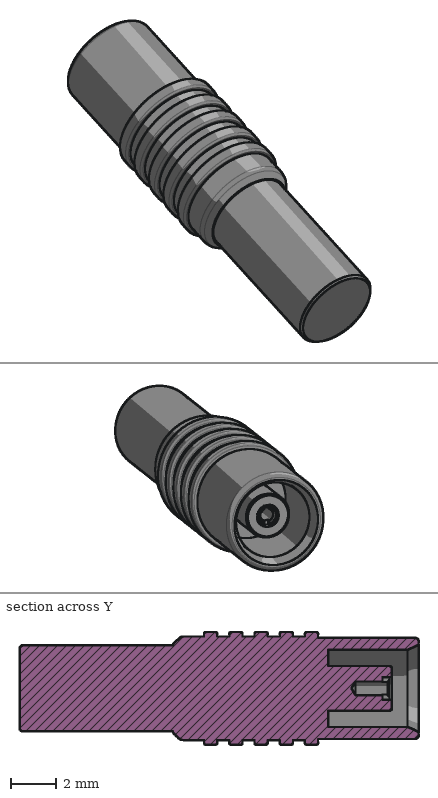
import cadquery as cq
import math

total_length = 17.66
mating_end = -total_length / 2
cable_end = total_length / 2

barrel_radius = 2.25
grip_radius = 2.3
ferrule_radius = 1.91
ferrule_chamfer = 0.1
barrel_length = 4.45
grip_length = 6.43
grip_start = mating_end + barrel_length
grip_end = grip_start + grip_length
shoulder_chamfer = 0.34
shoulder_round = 0.3
lip_round = 0.2

ring_count = 5
ring_radius = 2.5
ring_width = 0.6
ring_pitch = 1.115
ring_edge_round = 0.1

socket_mouth_radius = 1.94
socket_radius = 1.7
socket_taper_depth = 0.5
socket_depth = 4.0

insulator_radius = 1.0
insulator_chamfer = 0.07
insulator_recess = 1.2

contact_radius = 0.5
contact_setback = 0.1
contact_bore_radius = 0.3
contact_countersink = 0.1
contact_bore_depth = 1.5
contact_slot_width = 0.25
contact_slot_depth = 0.3
contact_tip_angle = 118
contact_tip_depth = contact_bore_radius / math.tan(math.radians(contact_tip_angle / 2))


def cylinder(start, end, radius):
    """Solid cylinder on the X axis between two X positions."""
    return cq.Workplane("YZ", origin=(start, 0, 0)).circle(radius).extrude(end - start)


def make_body():
    barrel = cylinder(mating_end, grip_start, barrel_radius).faces("<X").edges().fillet(lip_round)
    grip = cylinder(grip_start, grip_end, grip_radius).faces(">X").edges().chamfer(shoulder_chamfer)
    shoulder_edge = cq.selectors.RadiusNthSelector(-1)
    grip = grip.faces("%CONE").edges(shoulder_edge).fillet(shoulder_round)
    ferrule = cylinder(grip_end, cable_end, ferrule_radius).faces(">X").edges().chamfer(ferrule_chamfer)
    return barrel.union(grip).union(ferrule)


def make_ring(index):
    start = grip_start + index * ring_pitch
    return cylinder(start, start + ring_width, ring_radius).edges().fillet(ring_edge_round)


def revolve_profile(points):
    """Solid of revolution about X from a closed profile of (X, radius) points."""
    return cq.Workplane("XY").polyline(points).close().revolve(360, (0, 0, 0), (1, 0, 0))


def make_socket():
    """Cutter for the socket: a tapered mouth leading into a straight bore."""
    taper_end = mating_end + socket_taper_depth
    floor = mating_end + socket_depth
    return revolve_profile([
        (mating_end, 0),
        (mating_end, socket_mouth_radius),
        (taper_end, socket_radius),
        (floor, socket_radius),
        (floor, 0),
    ])


def make_contact_hole(front):
    """Cutter for the contact setback, countersink, bore and conical bottom."""
    contact_front = front + contact_setback
    bore_end = contact_front + contact_bore_depth
    return revolve_profile([
        (front, 0),
        (front, contact_radius),
        (contact_front, contact_radius),
        (contact_front, contact_bore_radius + contact_countersink),
        (contact_front + contact_countersink, contact_bore_radius),
        (bore_end, contact_bore_radius),
        (bore_end + contact_tip_depth, 0),
    ])


def make_contact_slot(front):
    """Cutter for the slot that splits the contact tip into two fingers."""
    slot_bottom = front + contact_setback + contact_slot_depth
    slot_sides = cq.Workplane("XY").box(total_length, contact_slot_width, 2 * contact_radius)
    return cylinder(front, slot_bottom, contact_radius).intersect(slot_sides)


def make_insulator():
    front = mating_end + insulator_recess
    floor = mating_end + socket_depth
    insulator = cylinder(front, floor, insulator_radius).faces("<X").edges().chamfer(insulator_chamfer)
    return insulator.cut(make_contact_hole(front)).cut(make_contact_slot(front))


result = make_body()
for index in range(ring_count):
    result = result.union(make_ring(index))
result = result.cut(make_socket()).union(make_insulator())